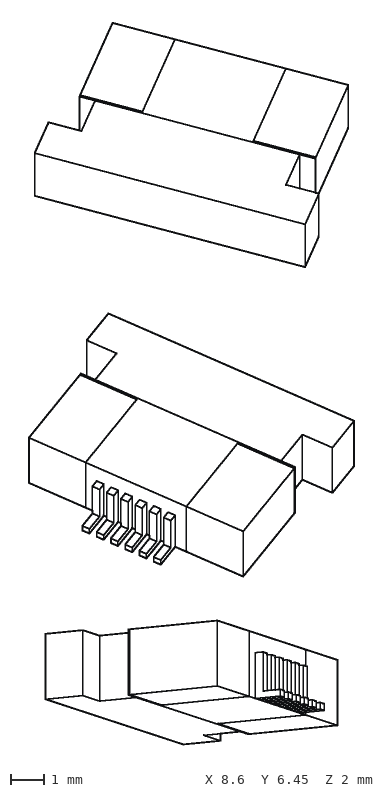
import cadquery as cq

height = 2.0
overall_width = 8.6
overall_depth = 6.45

slider_bar_depth = 1.28
slider_neck_width = 6.5
slider_depth = 2.54

housing_width = 7.5
housing_core_width = 3.53
housing_back = 5.6
flange_depth = 0.06

side_block_width = (housing_width - housing_core_width) / 2
side_block_front = slider_depth + flange_depth
side_block_depth = housing_back - side_block_front

pin_count = 6
pin_pitch = 0.5
pin_width = 0.25
pin_height = 1.4
pin_foot_thickness = 0.21
pin_riser_depth = 0.26
pin_depth = overall_depth - housing_back


def make_block(width, depth, block_height, front, center_x=0.0):
    """Box standing on Z = 0, with its front face at Y = front."""
    block = cq.Workplane("XY").box(width, depth, block_height, centered=(True, False, False))
    return block.translate((center_x, front, 0))


def make_slider():
    bar = make_block(overall_width, slider_bar_depth, height, 0)
    neck = make_block(slider_neck_width, slider_depth - slider_bar_depth, height, slider_bar_depth)
    return bar.union(neck)


def make_housing():
    flange = make_block(housing_width, flange_depth, height, slider_depth)
    core = make_block(housing_core_width, side_block_depth, height, side_block_front)
    return flange.union(core)


def make_side_block(side):
    center_x = side * (housing_core_width + side_block_width) / 2
    return make_block(side_block_width, side_block_depth, height, side_block_front, center_x)


def make_pin(center_x):
    foot = make_block(pin_width, pin_depth, pin_foot_thickness, housing_back, center_x)
    riser = make_block(pin_width, pin_riser_depth, pin_height, housing_back, center_x)
    return foot.union(riser)


slider = make_slider()
housing = make_housing()
side_blocks = [make_side_block(side) for side in (-1, 1)]
pins = [make_pin((index - (pin_count - 1) / 2) * pin_pitch) for index in range(pin_count)]

bodies = [slider, housing, *side_blocks, *pins]
result = cq.Compound.makeCompound([body.val() for body in bodies])